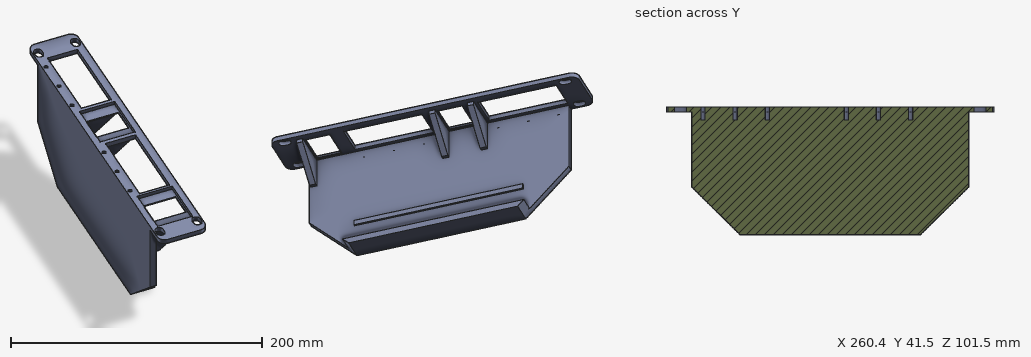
import cadquery as cq

PLATE_LENGTH = 260.4
PLATE_DEPTH = 41.5
PLATE_THICKNESS = 4.2
CORNER_RADIUS = 6.5
MID_X = PLATE_LENGTH / 2

SLOT_LENGTH = 10.0
SLOT_WIDTH = 6.8
SLOT_SPACING_X = 237.7
SLOT_SPACING_Y = 32.0

TOTAL_HEIGHT = 101.5
WALL_WIDTH = 220.3
WALL_THICKNESS = 5.5
WALL_SIDE_HEIGHT = 63.5
WALL_FOOT_WIDTH = 143.2
SHELF_DEPTH = 18.7
SHELF_THICKNESS = 5.2

RIDGE_LENGTH = WALL_FOOT_WIDTH
RIDGE_HEIGHT = 4.2
RIDGE_PROJECTION = 1.5
RIDGE_TOP_Z = -71.9

WINDOW_STARTS = (19.8, 133.5)
WINDOW_LENGTH = 66.6
WINDOW_FRONT = 8.5
WINDOW_DEPTH = 26.0

POCKET_STARTS = (89.5, 202.5)
POCKET_LENGTHS = (40.5, 40.0)
POCKET_FRONT = 5.5
POCKET_DEPTH = 30.5
POCKET_RECESS = 3.0
OPENING_STARTS = (99.7, 212.0)
OPENING_LENGTH = 20.5
OPENING_FRONT = 7.0
OPENING_DEPTH = 27.5

SCREW_DIAMETER = 3.0
SCREW_DEPTH = 10.5
SCREW_Y = 3.0
SCREW_OFFSET = 9.5
SCREW_PITCH = 25.5
SCREWS_PER_WINDOW = 3

GUSSET_THICKNESS = 5.2
GUSSET_REACH = 37.2
GUSSET_BOTTOM_Z = -29.2
GUSSET_TIP_HEIGHT = 3.0
GUSSET_FOOT_Y = 8.3
WINDOW_GUSSET_SETBACK = 2.5
OPENING_GUSSET_SETBACK = 1.3


def box(x, y, z, length, depth, height):
    """Box given by its low corner and its sizes along X, Y and Z."""
    return cq.Workplane("XY").box(length, depth, height, centered=False).translate((x, y, z))


def make_plate():
    plate = box(0, 0, -PLATE_THICKNESS, PLATE_LENGTH, PLATE_DEPTH, PLATE_THICKNESS)
    plate = plate.edges("|Z").fillet(CORNER_RADIUS)
    slots = (
        cq.Workplane("XY")
        .center(MID_X, PLATE_DEPTH / 2)
        .rarray(SLOT_SPACING_X, SLOT_SPACING_Y, 2, 2)
        .slot2D(SLOT_LENGTH, SLOT_WIDTH)
        .extrude(-PLATE_THICKNESS)
    )
    return plate.cut(slots)


def wall_prism(depth):
    """The wall outline extruded from the front face toward +Y."""
    half_width = WALL_WIDTH / 2
    half_foot = WALL_FOOT_WIDTH / 2
    return (
        cq.Workplane("XZ")
        .polyline([
            (MID_X - half_width, 0),
            (MID_X + half_width, 0),
            (MID_X + half_width, -WALL_SIDE_HEIGHT),
            (MID_X + half_foot, -TOTAL_HEIGHT),
            (MID_X - half_foot, -TOTAL_HEIGHT),
            (MID_X - half_width, -WALL_SIDE_HEIGHT),
        ])
        .close()
        .extrude(-depth)
    )


def make_shelf():
    """Shelf whose ends follow the slanted wall corners."""
    slab = box(0, 0, -TOTAL_HEIGHT, PLATE_LENGTH, SHELF_DEPTH, SHELF_THICKNESS)
    return wall_prism(SHELF_DEPTH).intersect(slab)


def make_ridge():
    return box(
        MID_X - RIDGE_LENGTH / 2, 0, RIDGE_TOP_Z - RIDGE_HEIGHT,
        RIDGE_LENGTH, WALL_THICKNESS + RIDGE_PROJECTION, RIDGE_HEIGHT,
    )


def make_gusset(x):
    """Gusset whose -X face lies at x."""
    return (
        cq.Workplane("YZ", origin=(x, 0, 0))
        .polyline([
            (WALL_THICKNESS, -PLATE_THICKNESS),
            (GUSSET_REACH, -PLATE_THICKNESS),
            (GUSSET_REACH, -PLATE_THICKNESS - GUSSET_TIP_HEIGHT),
            (GUSSET_FOOT_Y, GUSSET_BOTTOM_Z),
            (WALL_THICKNESS, GUSSET_BOTTOM_Z),
        ])
        .close()
        .extrude(GUSSET_THICKNESS)
    )


body = make_plate().union(wall_prism(WALL_THICKNESS)).union(make_shelf()).union(make_ridge())

gusset_positions = [WINDOW_STARTS[0] + WINDOW_LENGTH + WINDOW_GUSSET_SETBACK]
gusset_positions += [start + OPENING_LENGTH + OPENING_GUSSET_SETBACK for start in OPENING_STARTS]
for gusset_x in gusset_positions:
    body = body.union(make_gusset(gusset_x))

for start in WINDOW_STARTS:
    body = body.cut(box(start, WINDOW_FRONT, -PLATE_THICKNESS, WINDOW_LENGTH, WINDOW_DEPTH, PLATE_THICKNESS))
for start, length in zip(POCKET_STARTS, POCKET_LENGTHS):
    body = body.cut(box(start, POCKET_FRONT, -POCKET_RECESS, length, POCKET_DEPTH, POCKET_RECESS))
for start in OPENING_STARTS:
    body = body.cut(
        box(start, OPENING_FRONT, -PLATE_THICKNESS, OPENING_LENGTH, OPENING_DEPTH, PLATE_THICKNESS)
    )

screw_points = [
    (start + SCREW_OFFSET + i * SCREW_PITCH, SCREW_Y)
    for start in WINDOW_STARTS
    for i in range(SCREWS_PER_WINDOW)
]
screw_holes = cq.Workplane("XY").pushPoints(screw_points).circle(SCREW_DIAMETER / 2).extrude(-SCREW_DEPTH)

result = body.cut(screw_holes)